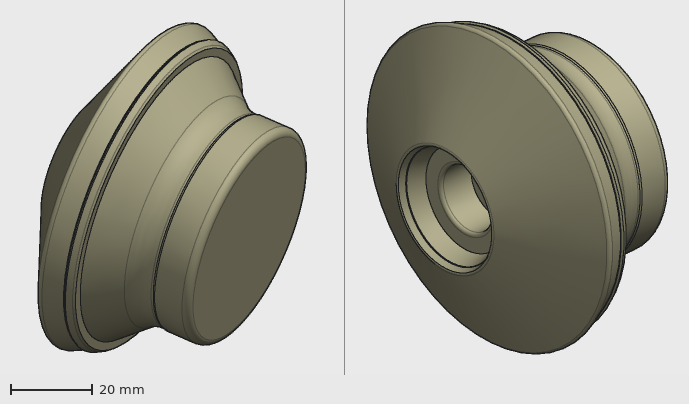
import cadquery as cq
import math


rim_radius = 43.5
total_length = 49.4

tip_radius = 17.5
tip_round_depth = 0.2
rim_round = 1.1
rim_center = 15.4
cone_angle = math.radians(60.5)
taper_angle = math.radians(24)
cap_back = 20.7
cap_back_radius = 41.15

mouth_radius = 16.7
hub_radius = 15.9
mouth_depth = 1.9

hub_front = 2.2
hub_edge_width = 0.1
pocket_floor_radius = 14.3
pocket_depth = 7.2
bore_radius = 18.0 / 2
bore_depth = 17.6
bore_lip = 1.0

flange_ramp_start = 21.0
flange_ramp_end = 21.5
flange_front_radius = 41.6
flange_back = 23.6
flange_back_radius = 40.7
flange_bevel = 0.5

neck_front_radius = 37.9
neck_arc_start = 32.0
neck_arc_start_radius = 30.9
neck_arc_end = 38.45
neck_radius = 57.6 / 2
collar_ramp_start = 39.1
collar_ramp_end = 39.6
collar_radius = 58.0 / 2
collar_round = 2.0


def revolve_about_x(profile):
    """Turn a closed profile, drawn as (x, radius), about the X axis."""
    return profile.close().revolve(360, (0, 0, 0), (1, 0, 0))


def rim_point(angle):
    """Point on the rounded rim, at an angle from the outward radial direction."""
    x = rim_center + rim_round * math.sin(angle)
    radius = rim_radius - rim_round * (1 - math.cos(angle))
    return (x, radius)


def make_cap():
    """Conical cap with a rounded tip and rim, and a stepped through opening for the hub."""
    profile = (
        cq.Workplane("XY")
        .moveTo(tip_round_depth, mouth_radius)
        .threePointArc((0, (mouth_radius + tip_radius) / 2), (tip_round_depth, tip_radius))
        .lineTo(*rim_point(-cone_angle))
        .threePointArc(rim_point(0), rim_point(taper_angle))
        .lineTo(cap_back, cap_back_radius)
        .lineTo(cap_back, hub_radius)
        .lineTo(mouth_depth, hub_radius)
    )
    return revolve_about_x(profile)


def make_base():
    """Hub that fills the cap, flange against its back, flared neck and rounded collar."""
    lip_mid = bore_lip * (1 - math.sqrt(0.5))
    profile = (
        cq.Workplane("XY")
        .moveTo(bore_depth, 0)
        .lineTo(bore_depth, bore_radius)
        .lineTo(pocket_depth + bore_lip, bore_radius)
        .threePointArc(
            (pocket_depth + lip_mid, bore_radius + lip_mid),
            (pocket_depth, bore_radius + bore_lip),
        )
        .lineTo(pocket_depth, pocket_floor_radius)
        .lineTo(hub_front, hub_radius - hub_edge_width)
        .lineTo(hub_front, hub_radius)
        .lineTo(cap_back, hub_radius)
        .lineTo(cap_back, cap_back_radius)
        .lineTo(flange_ramp_start, cap_back_radius)
        .lineTo(flange_ramp_end, flange_front_radius)
        .lineTo(flange_back - flange_bevel, flange_back_radius)
        .lineTo(flange_back, flange_back_radius - flange_bevel)
        .lineTo(flange_back, neck_front_radius)
        .lineTo(neck_arc_start, neck_arc_start_radius)
        .tangentArcPoint((neck_arc_end, neck_radius), relative=False)
        .lineTo(collar_ramp_start, neck_radius)
        .lineTo(collar_ramp_end, collar_radius)
        .lineTo(total_length - collar_round, collar_radius)
        .tangentArcPoint((total_length, collar_radius - collar_round), relative=False)
        .lineTo(total_length, 0)
    )
    return revolve_about_x(profile)


cap = make_cap()
base = make_base()
result = cq.Compound.makeCompound([cap.val(), base.val()])